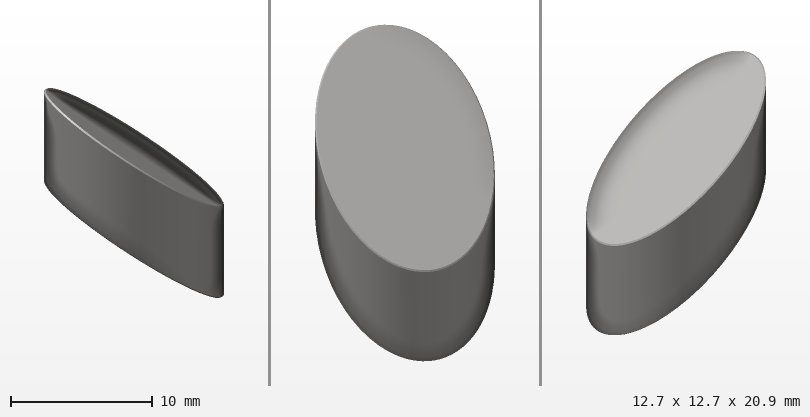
import cadquery as cq
import math

diameter = 12.7
overall_height = 20.9
bevel_width = 0.142
acute_corner = math.radians(45)
obtuse_corner = math.pi - acute_corner

radius = diameter / 2


def bevel_leg(corner_angle):
    """Length a bevel removes from each side of a corner."""
    return bevel_width / (2 * math.sin(corner_angle / 2))


acute_leg = bevel_leg(acute_corner)
obtuse_leg = bevel_leg(obtuse_corner)
acute_inset = acute_leg * math.sin(acute_corner)
obtuse_inset = obtuse_leg * math.sin(obtuse_corner)

tip_y = -radius + acute_inset
far_y = radius - obtuse_inset
tip_z = overall_height / 2
far_z = tip_z - (far_y - tip_y) / math.tan(acute_corner)

wall_tip_z = tip_z + acute_inset / math.tan(acute_corner) - acute_leg
wall_far_z = far_z - obtuse_inset / math.tan(acute_corner) - obtuse_leg

face_edge = [(tip_y, tip_z), (far_y, far_z)]
wall_edge = [(-radius, wall_tip_z), (radius, wall_far_z)]


def opposite(edge):
    """Matching bottom edge: the part is symmetric under a half turn about X."""
    return [(-y, -z) for y, z in reversed(edge)]


def sloped_ellipse(edge):
    """Ellipse through two (y, z) end points that looks circular along Z."""
    (y0, z0), (y1, z1) = edge
    centre = (0, (y0 + y1) / 2, (z0 + z1) / 2)
    normal = (0, z0 - z1, y1 - y0)
    plane = cq.Plane(origin=centre, xDir=(1, 0, 0), normal=normal)
    half_across = (y1 - y0) / 2
    half_along = math.hypot(y1 - y0, z1 - z0) / 2
    return cq.Workplane(plane).ellipse(half_across, half_along).wire().val()


rim_edges = [opposite(face_edge), opposite(wall_edge), wall_edge, face_edge]
body = cq.Solid.makeLoft([sloped_ellipse(edge) for edge in rim_edges], True)
result = cq.Workplane(body)